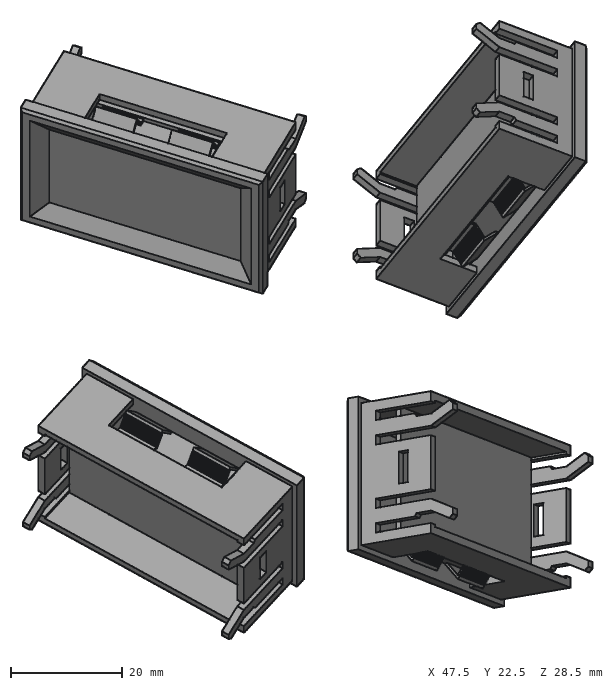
import cadquery as cq
import math


bezel_width = 47.5
bezel_height = 28.5
bezel_depth = 2.75
bezel_chamfer = 0.5
rim_width = 2.05
recess_depth = 2.0
recess_taper = 2.95

bezel_overhang = 1.0
wall = 1.45
housing_back = 17.75

window_width = 25.0
window_back = 10.25

slot_front = 5.8
slot_height = 1.75
outer_slot_top = 11.35
arm_height = 2.8
vent_front = 10.8
vent_back = 12.8
vent_height = 6.0

arm_back = 22.5
arm_rise = 0.5
arm_step = 0.55
arm_step_back = 14.7
arm_step_front = 14.3
tip_chamfer_depth = 0.75
tip_chamfer_height = 0.65

board_thickness = 1.0
display_front = 3.3
display_width = 22.95
display_height = 21.75

spring_width = 8.05
spring_thickness = 0.48
spring_apex_y = 6.2
spring_foot_start_y = 8.2
groove_count = 6
groove_pitch = 0.48
groove_radius = 0.13
first_groove_from_apex = 0.8

housing_width = bezel_width - 2 * bezel_overhang
housing_height = bezel_height - 2 * bezel_overhang
cavity_width = housing_width - 2 * wall
cavity_height = housing_height - 2 * wall
recess_width = bezel_width - 2 * rim_width
recess_height = bezel_height - 2 * rim_width
lens_width = recess_width - 2 * recess_taper
lens_height = recess_height - 2 * recess_taper
board_front = window_back - board_thickness
arm_top = outer_slot_top - slot_height
arm_bottom = arm_top - arm_height
display_top = display_height / 2


def block(width, height, front, back):
    """Box centred on X = 0 and Z = 0 that runs from Y = front to Y = back."""
    depth = back - front
    return cq.Workplane("XY").box(width, depth, height).translate((0, front + depth / 2, 0))


def extrude_along_x(points, start_x, length):
    """Closed (Y, Z) outline extruded toward +X from start_x."""
    return cq.Workplane("YZ").workplane(offset=start_x).polyline(points).close().extrude(length)


def mirrored_pair(shape, plane):
    return shape.union(shape.mirror(plane))


def make_bezel():
    bezel = block(bezel_width, bezel_height, 0, bezel_depth).faces("<Y").chamfer(bezel_chamfer)
    recess = (
        cq.Workplane("XZ")
        .rect(recess_width, recess_height)
        .workplane(offset=-recess_depth)
        .rect(lens_width, lens_height)
        .loft(ruled=True)
    )
    lens_opening = block(lens_width, lens_height, recess_depth, bezel_depth)
    return bezel.cut(recess).cut(lens_opening)


def make_side_cutouts():
    """Slots above and below the latch arms, and the vent, through both side walls."""
    cutouts = block(housing_width, vent_height, vent_front, vent_back)
    slot_depth = housing_back - slot_front
    for slot_top in (outer_slot_top, arm_bottom):
        slot = (
            cq.Workplane("XY")
            .box(housing_width, slot_depth, slot_height)
            .translate((0, slot_front + slot_depth / 2, slot_top - slot_height / 2))
        )
        cutouts = cutouts.union(mirrored_pair(slot, "XY"))
    step_relief = extrude_along_x(
        [
            (arm_step_front, arm_top),
            (arm_step_back, arm_top - arm_step),
            (housing_back, arm_top - arm_step),
            (housing_back, arm_top),
        ],
        -housing_width / 2,
        housing_width,
    )
    return cutouts.union(mirrored_pair(step_relief, "XY"))


def make_arm_tips():
    """Bent ends of the four latch arms behind the housing."""
    step_top = arm_top - arm_step
    tip_length = arm_back - housing_back
    tip_bottom = arm_bottom + arm_rise * tip_length
    upper_end = arm_back - tip_chamfer_depth
    tip_top = step_top + arm_rise * (upper_end - housing_back)
    tip = extrude_along_x(
        [
            (housing_back, arm_bottom),
            (arm_back, tip_bottom),
            (arm_back, tip_top - tip_chamfer_height),
            (upper_end, tip_top),
            (housing_back, step_top),
        ],
        -housing_width / 2,
        wall,
    )
    return mirrored_pair(mirrored_pair(tip, "XY"), "YZ")


def make_housing():
    shell = block(housing_width, housing_height, bezel_depth, housing_back)
    shell = shell.cut(block(cavity_width, cavity_height, bezel_depth, housing_back))
    spring_windows = block(window_width, housing_height, bezel_depth, window_back)
    shell = shell.cut(spring_windows).cut(make_side_cutouts())
    return make_bezel().union(shell).union(make_arm_tips())


def make_spring():
    """Bent leaf on top of the display, centred on X = 0: a front flap rises to the
    apex and a grooved leg falls to a flat foot against the board."""
    apex_z = bezel_height / 2
    foot_top = display_top + spring_thickness
    flap_slope = (apex_z - display_top) / (spring_apex_y - display_front)
    leg_slope = (apex_z - foot_top) / (spring_foot_start_y - spring_apex_y)
    flap_angle = math.atan(flap_slope)
    leg_angle = math.atan(leg_slope)

    inner_flap_y = display_front + spring_thickness / math.sin(flap_angle)
    inner_leg_y = (
        spring_foot_start_y + spring_thickness / leg_slope - spring_thickness / math.sin(leg_angle)
    )
    inner_apex_y = (flap_slope * inner_flap_y + leg_slope * inner_leg_y) / (flap_slope + leg_slope)
    inner_apex_z = display_top + flap_slope * (inner_apex_y - inner_flap_y)

    spring = extrude_along_x(
        [
            (display_front, display_top),
            (spring_apex_y, apex_z),
            (spring_foot_start_y, foot_top),
            (board_front, foot_top),
            (board_front, display_top),
            (inner_leg_y, display_top),
            (inner_apex_y, inner_apex_z),
            (inner_flap_y, display_top),
        ],
        -spring_width / 2,
        spring_width,
    )

    groove_centres = []
    for index in range(groove_count):
        from_apex = first_groove_from_apex + index * groove_pitch
        groove_y = spring_apex_y + from_apex * math.cos(leg_angle)
        groove_z = apex_z - from_apex * math.sin(leg_angle)
        groove_centres.append((groove_y, groove_z))
    grooves = (
        cq.Workplane("YZ")
        .workplane(offset=-spring_width / 2)
        .pushPoints(groove_centres)
        .circle(groove_radius)
        .extrude(spring_width)
    )
    return spring.cut(grooves)


def make_springs():
    """Two springs on top of the display and two below it, flush with its ends."""
    spring_x = (display_width - spring_width) / 2
    upper_spring = make_spring()
    lower_spring = upper_spring.mirror("XY")
    springs = []
    for side in (-1, 1):
        for spring in (upper_spring, lower_spring):
            springs.append(spring.translate((side * spring_x, 0, 0)).val())
    return springs


housing = make_housing()
lens = block(lens_width, lens_height, recess_depth, bezel_depth)
display = block(display_width, display_height, display_front, board_front)
board = block(cavity_width, cavity_height, board_front, window_back)
springs = make_springs()

result = cq.Compound.makeCompound([housing.val(), lens.val(), display.val(), board.val(), *springs])